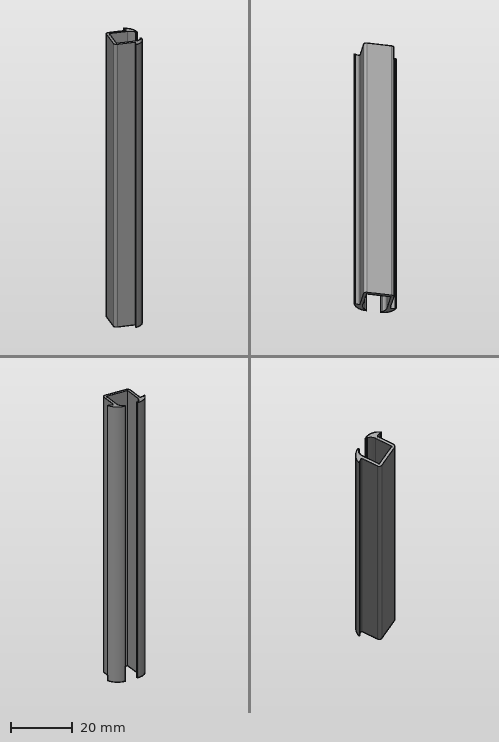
import cadquery as cq

length = 100.0
height = 10.0
channel_width = 10.0
wall = 1.0
corner_radius = 1.0

lip_span = 14.0
mouth_width = 4.6
mouth_edge_y = 9.5
mouth_edge_width = 0.5
inner_curve_y = 7.2
crown_width = 5.0
lip_tip_y = 6.7
lip_tip_width = 0.5
underside_tip_y = 6.9
underside_root_y = 7.1
root_radius = 0.3

half_width = channel_width / 2
half_span = lip_span / 2
half_mouth = mouth_width / 2
inner_x = half_width - wall
mouth_edge_x = half_mouth + mouth_edge_width
tip_inner_x = half_span - lip_tip_width


def make_half_channel():
    """Solid of the +X half of the channel, cut at its plane of symmetry."""
    return (
        cq.Workplane("XY")
        .moveTo(0, wall)
        .lineTo(inner_x, wall)
        .lineTo(inner_x, inner_curve_y)
        .tangentArcPoint((mouth_edge_x, mouth_edge_y), relative=False)
        .lineTo(half_mouth, mouth_edge_y)
        .lineTo(half_mouth, height)
        .lineTo(crown_width / 2, height)
        .tangentArcPoint((half_span, lip_tip_y), relative=False)
        .lineTo(tip_inner_x, lip_tip_y)
        .lineTo(tip_inner_x, underside_tip_y)
        .lineTo(half_width + root_radius, underside_root_y)
        .radiusArc((half_width, underside_root_y - root_radius), -root_radius)
        .lineTo(half_width, corner_radius)
        .radiusArc((half_width - corner_radius, 0), corner_radius)
        .lineTo(0, 0)
        .close()
        .extrude(length)
    )


half = make_half_channel()
result = half.union(half.mirror("YZ")).clean()